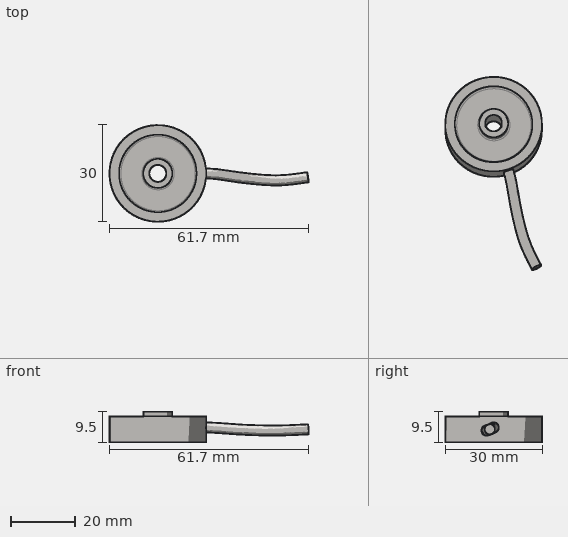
import cadquery as cq

housing_diameter = 30.0
housing_height = 8.0
recess_diameter = 24.0
recess_depth = 1.0
floor_fillet = 0.5
hub_diameter = 9.0
total_height = 9.5
bore_diameter = 5.2

cable_diameter = 3.2
cable_exit_height = 4.55
cable_embed = 2.45
housing_radius = housing_diameter / 2
cable_path = [
    (housing_radius - cable_embed, 0, cable_exit_height),
    (housing_radius, 0, cable_exit_height),
    (24.35, -1.1, 4.0),
    (34.2, -2.1, 3.65),
    (46.45, -1.2, 4.0),
]
cable_start_direction = (1, 0, 0)
cable_end_direction = (1, 0.15, 0.05)


def cylinder(diameter, height, base=0):
    return cq.Workplane("XY", origin=(0, 0, base)).circle(diameter / 2).extrude(height)


def make_housing():
    floor_height = housing_height - recess_depth
    recess = cylinder(recess_diameter, recess_depth, floor_height)
    hub = cylinder(hub_diameter, total_height - floor_height, floor_height)
    body = cylinder(housing_diameter, housing_height).cut(recess).union(hub)

    floor_edges = cq.selectors.BoxSelector(
        (-housing_radius, -housing_radius, floor_height - floor_fillet / 2),
        (housing_radius, housing_radius, floor_height + floor_fillet / 2),
    )
    body = body.edges("%CIRCLE").edges(floor_edges).fillet(floor_fillet)
    return body.cut(cylinder(bore_diameter, total_height))


def make_cable():
    path = cq.Workplane("XY").spline(cable_path, tangents=[cable_start_direction, cable_end_direction])
    cord = cq.Workplane("YZ", origin=cable_path[0]).circle(cable_diameter / 2).sweep(path)
    return cord.cut(cylinder(housing_diameter, housing_height))


housing = make_housing()
cable = make_cable()

result = cq.Compound.makeCompound([housing.solids().val(), cable.solids().val()])